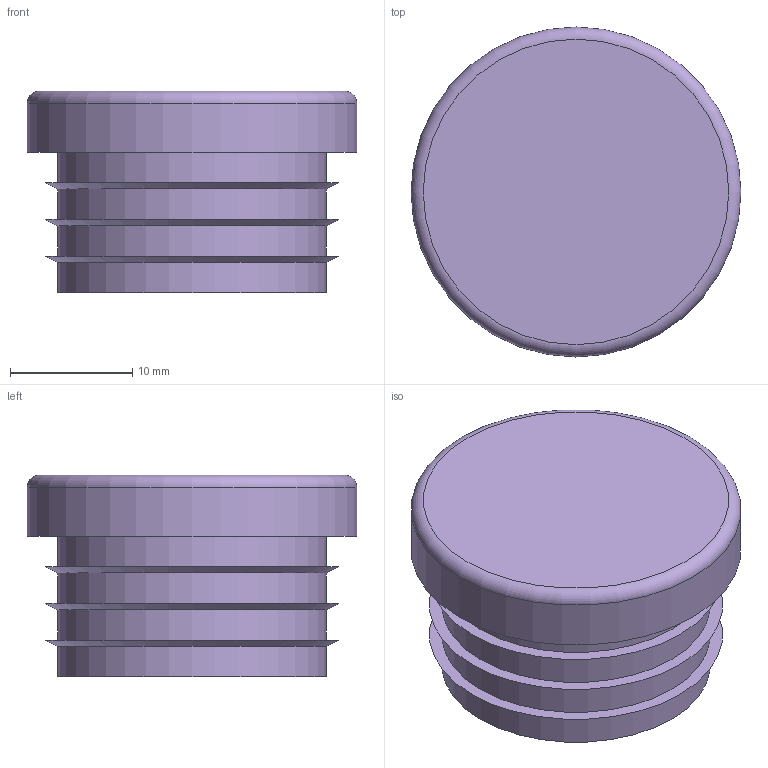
import cadquery as cq

head_diameter = 27.0
head_height = 5.0
head_edge_radius = 1.0

stem_diameter = 22.0
stem_height = 11.5

fin_diameter = 24.0
fin_height = 0.5
fin_count = 3
fin_pitch = 3.0
lowest_fin_top = 3.0


def make_stem():
    return cq.Workplane("XY").circle(stem_diameter / 2).extrude(stem_height)


def make_head():
    """Cap disc on top of the stem, with a rounded upper edge."""
    disc = cq.Workplane("XY").workplane(offset=stem_height).circle(head_diameter / 2).extrude(head_height)
    return disc.faces(">Z").edges().fillet(head_edge_radius)


def make_fin(top_z):
    """Sharp gripping fin: flat on top, tapering down to the stem surface."""
    base_z = top_z - fin_height
    profile = (
        cq.Workplane("XZ")
        .moveTo(0, base_z)
        .lineTo(stem_diameter / 2, base_z)
        .lineTo(fin_diameter / 2, top_z)
        .lineTo(0, top_z)
        .close()
    )
    return profile.revolve(360, (0, 0, 0), (0, 1, 0))


result = make_stem().union(make_head())
for index in range(fin_count):
    result = result.union(make_fin(lowest_fin_top + index * fin_pitch))